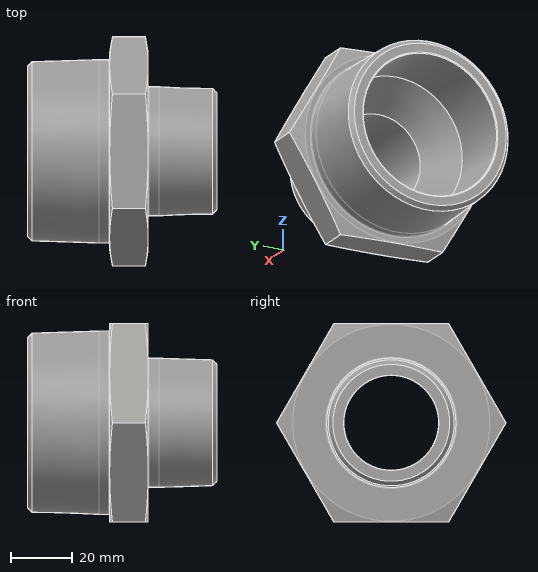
import cadquery as cq
import math


total_length = 62.0
hex_start = 26.85
hex_width = 12.65
hex_end = hex_start + hex_width
large_runout = 3.5
small_runout = 3.5

large_diameter = 60.08
small_diameter = 42.31
taper_ratio = 1 / 16
end_chamfer = 1.5
root_fillet = 0.3

across_flats = 65.0
across_corners = across_flats / math.cos(math.radians(30))
bearing_diameter = 64.5
hex_chamfer_angle = 10.0

large_bore = 49.0
small_bore = 31.0
mouth_chamfer = 0.3
cone_start = 24.9
cone_length = 12.6


def threaded_end(diameter, runout, length):
    """Tapered spigot standing on x = 0 and pointing along +X."""
    root_radius = diameter / 2
    taper_end = length - end_chamfer
    tip_radius = root_radius - (taper_end - runout) * taper_ratio / 2
    return (
        cq.Workplane("XZ")
        .moveTo(0, 0)
        .lineTo(0, root_radius + root_fillet)
        .radiusArc((root_fillet, root_radius), -root_fillet)
        .lineTo(runout, root_radius)
        .lineTo(taper_end, tip_radius)
        .lineTo(length, tip_radius - end_chamfer)
        .lineTo(length, 0)
        .close()
        .revolve(360, (0, 0, 0), (1, 0, 0))
    )


def hexagon():
    """Hexagon with flats facing +Z and -Z, its corners cut back by a cone on both faces."""
    prism = (
        cq.Workplane("YZ", origin=(hex_start, 0, 0))
        .polygon(6, across_corners)
        .extrude(hex_width)
    )
    bearing_radius = bearing_diameter / 2
    corner_radius = across_corners / 2
    corner_setback = (corner_radius - bearing_radius) * math.tan(math.radians(hex_chamfer_angle))
    envelope = (
        cq.Workplane("XZ")
        .polyline([
            (hex_start, 0),
            (hex_start, bearing_radius),
            (hex_start + corner_setback, corner_radius),
            (hex_end - corner_setback, corner_radius),
            (hex_end, bearing_radius),
            (hex_end, 0),
        ])
        .close()
        .revolve(360, (0, 0, 0), (1, 0, 0))
    )
    return prism.intersect(envelope)


def bore():
    """Through passage: chamfered mouth, wide bore, cone and narrow bore."""
    large_radius = large_bore / 2
    small_radius = small_bore / 2
    return (
        cq.Workplane("XZ")
        .polyline([
            (0, 0),
            (0, large_radius + mouth_chamfer),
            (mouth_chamfer, large_radius),
            (cone_start, large_radius),
            (cone_start + cone_length, small_radius),
            (total_length, small_radius),
            (total_length, 0),
        ])
        .close()
        .revolve(360, (0, 0, 0), (1, 0, 0))
    )


large_end = (
    threaded_end(large_diameter, large_runout, hex_start)
    .mirror("YZ")
    .translate((hex_start, 0, 0))
)
small_end = (
    threaded_end(small_diameter, small_runout, total_length - hex_end)
    .translate((hex_end, 0, 0))
)
result = hexagon().union(large_end).union(small_end).cut(bore())